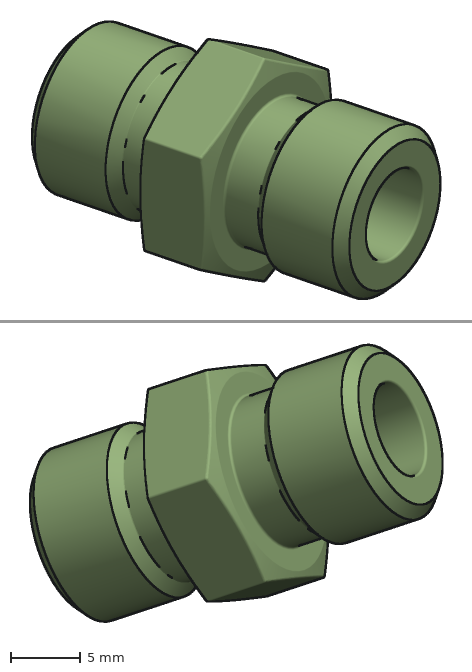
import cadquery as cq
import math

total_length = 28.0
hex_width = 6.0
relief_width = 3.0

thread_diameter = 13.16
relief_diameter = 11.4
bevel_root_radius = 0.1

across_flats = 16.0
hex_face_diameter = 15.0
hex_chamfer_angle = 15.0

bore_diameter = 7.0

edge_radius = 0.2

half_length = total_length / 2
half_hex = hex_width / 2
thread_radius = thread_diameter / 2
relief_radius = relief_diameter / 2
bevel = thread_radius - relief_radius
across_corners = across_flats / math.cos(math.radians(30))


def revolve_about_x(points):
    """Solid of revolution about X from (x, radius) points."""
    return cq.Workplane("XY").polyline(points).close().revolve(360, (0, 0, 0), (1, 0, 0))


def make_hexagon():
    """Hexagon with corners on +Z and -Z, both faces coned, all edges rounded."""
    prism = (
        cq.Workplane("YZ")
        .polygon(6, across_corners)
        .extrude(half_hex, both=True)
        .rotate((0, 0, 0), (1, 0, 0), 90)
    )
    face_radius = hex_face_diameter / 2
    corner_clearance = 1.0
    outer_radius = across_corners / 2 + corner_clearance
    cone_drop = (outer_radius - face_radius) * math.tan(math.radians(hex_chamfer_angle))
    envelope = revolve_about_x([
        (-half_hex, 0),
        (-half_hex, face_radius),
        (-half_hex + cone_drop, outer_radius),
        (half_hex - cone_drop, outer_radius),
        (half_hex, face_radius),
        (half_hex, 0),
    ])
    return prism.intersect(envelope).edges().fillet(edge_radius)


def make_spigot():
    """Threaded end on the +X side: relief groove, then a major diameter bevelled at both ends."""
    relief_end = half_hex + relief_width
    return revolve_about_x([
        (0, 0),
        (0, relief_radius),
        (relief_end, relief_radius),
        (relief_end + bevel, thread_radius),
        (half_length - bevel, thread_radius),
        (half_length, relief_radius),
        (half_length, 0),
    ])


def round_inner_corner(body, x, radius):
    """Round the circular inner corner of the relief diameter at position x."""
    tolerance = 0.01
    reach = relief_radius + tolerance
    corner = cq.selectors.BoxSelector(
        (x - tolerance, -reach, -reach), (x + tolerance, reach, reach), boundingbox=True
    )
    return body.edges(corner).fillet(radius)


def round_relief_corners(body):
    """Round both ends of each relief groove: at the hexagon face and at the thread bevel."""
    for side in (-1, 1):
        body = round_inner_corner(body, side * half_hex, edge_radius)
        body = round_inner_corner(body, side * (half_hex + relief_width), bevel_root_radius)
    return body


def cut_bore(body):
    """Through bore along X with rounded mouths."""
    bore = cq.Workplane("YZ").circle(bore_diameter / 2).extrude(half_length, both=True)
    mouths = cq.selectors.RadiusNthSelector(0)
    body = body.cut(bore)
    for end_face in ("<X", ">X"):
        body = body.faces(end_face).edges(mouths).fillet(edge_radius)
    return body


spigot = make_spigot()
body = make_hexagon().union(spigot).union(spigot.mirror("YZ"))
result = cut_bore(round_relief_corners(body))